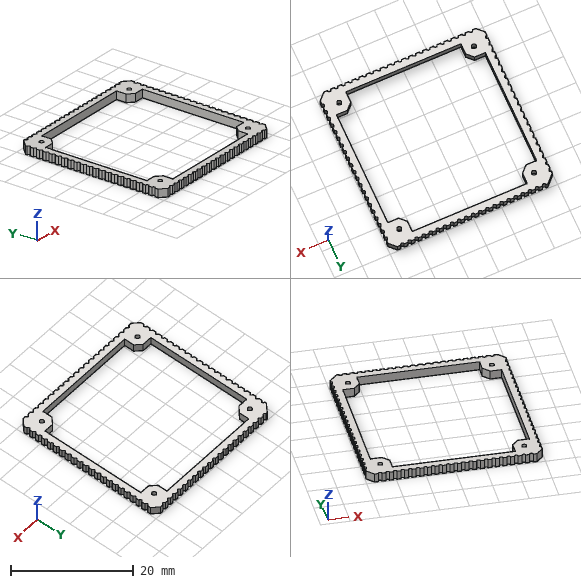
import cadquery as cq

outer_side = 29.59
thickness = 1.6

groove_pitch = 1.27
groove_count = 21
groove_diameter = 0.6

opening_side = groove_count * groove_pitch

pad_reach = 3.03
pad_chamfer = 1.1
hole_diameter = 0.8
hole_spacing = 24.16

corner_chamfer = 1.17
marked_corner_chamfer = (outer_side - opening_side) / 2

outer_half = outer_side / 2
opening_half = opening_side / 2


def make_plate():
    """Square plate with chamfered corners; the -X +Y corner is cut larger."""
    plate = cq.Workplane("XY").box(outer_side, outer_side, thickness, centered=(True, True, False))
    plate = plate.edges("|Z and <X and >Y").chamfer(marked_corner_chamfer)
    plate = plate.edges("|Z").edges(">X or (<X and <Y)").chamfer(corner_chamfer)
    return plate


def make_opening():
    """Square opening, less a chamfered pad in each corner."""
    pad_edge = opening_half - pad_reach
    opening = cq.Workplane("XY").rect(opening_side, opening_side).extrude(thickness)
    for x_sign in (-1, 1):
        for y_sign in (-1, 1):
            corners = [
                (opening_half, opening_half),
                (pad_edge, opening_half),
                (pad_edge, pad_edge + pad_chamfer),
                (pad_edge + pad_chamfer, pad_edge),
                (opening_half, pad_edge),
            ]
            placed = [(x_sign * x, y_sign * y) for x, y in corners]
            opening = opening.cut(cq.Workplane("XY").polyline(placed).close().extrude(thickness))
    return opening


def make_grooves():
    """Round cutters centred on the outer sides, evenly spaced about the middle."""
    first = -(groove_count - 1) * groove_pitch / 2
    centres = []
    for index in range(groove_count):
        along = first + index * groove_pitch
        for side in (-outer_half, outer_half):
            centres.append((along, side))
            centres.append((side, along))
    return cq.Workplane("XY").pushPoints(centres).circle(groove_diameter / 2).extrude(thickness)


def make_holes():
    """One through hole in each corner pad."""
    layout = cq.Workplane("XY").rect(hole_spacing, hole_spacing, forConstruction=True)
    return layout.vertices().circle(hole_diameter / 2).extrude(thickness)


result = make_plate().cut(make_opening()).cut(make_grooves()).cut(make_holes())